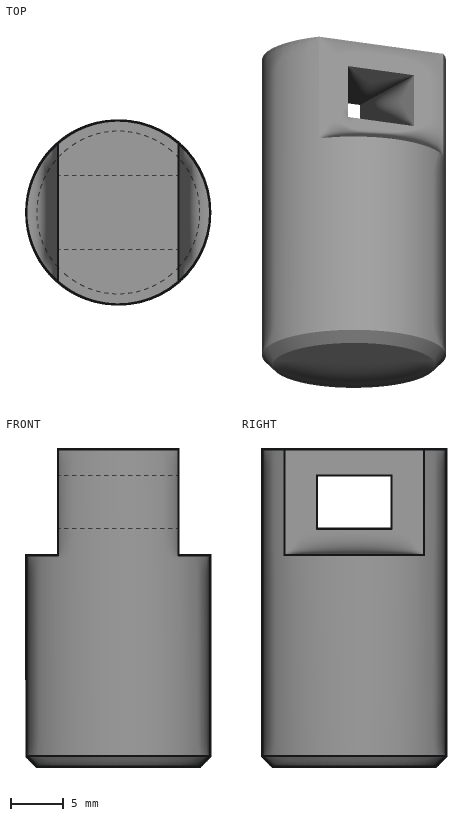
import cadquery as cq

body_diameter = 17.4
total_height = 30.0
bottom_chamfer = 1.0
tongue_thickness = 11.4
tongue_height = 10.0
window_width = 7.0
window_height = 5.0

shoulder_z = total_height - tongue_height
window_center_z = shoulder_z + tongue_height / 2


def make_body():
    """Round bar standing on Z = 0 with a chamfered bottom edge."""
    bar = cq.Workplane("XY").circle(body_diameter / 2).extrude(total_height)
    return bar.faces("<Z").edges().chamfer(bottom_chamfer)


def make_flat_cutter(side):
    """Block that removes the bar outside one tongue flat; side is -1 or +1 along X."""
    inner_x = side * tongue_thickness / 2
    return (
        cq.Workplane("XY", origin=(inner_x + side * body_diameter / 2, 0, shoulder_z))
        .rect(body_diameter, 2 * body_diameter)
        .extrude(tongue_height)
    )


def make_window():
    """Rectangular opening running through the tongue along X."""
    return cq.Workplane("XY", origin=(0, 0, window_center_z)).box(
        body_diameter, window_width, window_height
    )


result = make_body()
for side in (-1, 1):
    result = result.cut(make_flat_cutter(side))
result = result.cut(make_window())